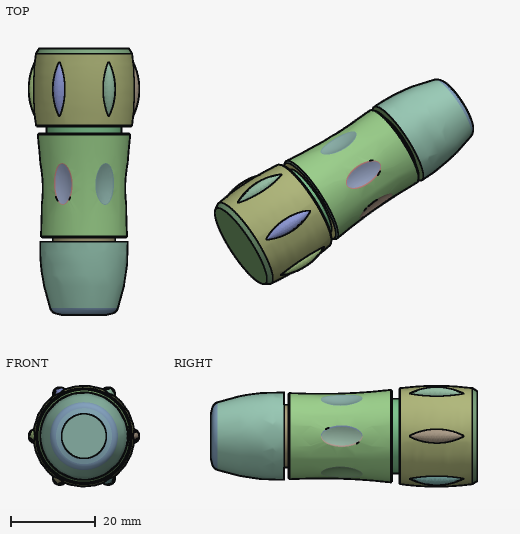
import cadquery as cq
import math

TOTAL_LENGTH = 62.82
NUT_LENGTH = 18.45
SLEEVE_START = 20.0
SLEEVE_END = 44.6
NOSE_START = 45.5

NUT_REAR_RADIUS = 10.6
NUT_EDGE_RADIUS = 11.35
NUT_MAX_RADIUS = 11.93
NUT_CHAMFER_LENGTH = 1.2
NUT_FRONT_CHAMFER = 0.35

RIDGE_COUNT = 6
RIDGE_STATION = 9.6
RIDGE_HALF_LENGTH = 6.8
RIDGE_HALF_WIDTH = 1.7
RIDGE_TOP_RADIUS = 13.07

REAR_NECK_RADIUS = 8.86
FRONT_NECK_RADIUS = 7.4

SLEEVE_REAR_RADIUS = 10.93
SLEEVE_FRONT_RADIUS = 10.18
SLEEVE_WAIST_DEPTH = 0.5
SLEEVE_EDGE_CHAMFER = 0.4

DIMPLE_COUNT = 6
DIMPLE_STATION = 32.4
DIMPLE_HALF_LENGTH = 4.65
DIMPLE_HALF_WIDTH = 2.15
DIMPLE_FLOOR_RADIUS = 9.3
DIMPLE_SIDE_DEPTH = 0.4
DIMPLE_END_DEPTH = 0.78
DIMPLE_RIM_FILLET = 0.6

NOSE_REAR_RADIUS = 10.33
NOSE_MIDDLE_RADIUS = 9.8
NOSE_MIDDLE_STATION = 54.0
NOSE_FRONT_RADIUS = 8.0
NOSE_FRONT_STATION = 61.2
TIP_FACE_RADIUS = 6.6
TIP_RIM_STATION = 62.5
RECESS_RADIUS = 5.27
RECESS_DEPTH = 0.2


def arc_radius(half_chord, sagitta):
    """Radius of the arc that rises by sagitta over a chord of twice half_chord."""
    return (half_chord**2 + sagitta**2) / (2 * sagitta)


def spindle(axis_radius, station, mid_radius, half_length):
    """A solid pointed at both ends, round about a line parallel to Y at x = axis_radius."""
    outline = (
        cq.Workplane("XY")
        .moveTo(axis_radius, -station - half_length)
        .threePointArc((axis_radius + mid_radius, -station), (axis_radius, half_length - station))
        .close()
    )
    return outline.revolve(360, (axis_radius, 0, 0), (axis_radius, 1, 0))


def around_axis(shape, count):
    """Copies of the shape spaced evenly around the Y axis."""
    step = 360 / count
    return [shape.rotate((0, 0, 0), (0, 1, 0), step * i) for i in range(count)]


def make_body():
    """The nut, sleeve and nose as one revolved outline."""
    sleeve_rear = SLEEVE_START + SLEEVE_EDGE_CHAMFER
    sleeve_front = SLEEVE_END - SLEEVE_EDGE_CHAMFER
    sleeve_middle = (sleeve_rear + sleeve_front) / 2
    waist_radius = (SLEEVE_REAR_RADIUS + SLEEVE_FRONT_RADIUS) / 2 - SLEEVE_WAIST_DEPTH
    nut_front = NUT_LENGTH - NUT_FRONT_CHAMFER
    outline = (
        cq.Workplane("XY")
        .moveTo(0, 0)
        .lineTo(NUT_REAR_RADIUS, 0)
        .lineTo(NUT_EDGE_RADIUS, -NUT_CHAMFER_LENGTH)
        .threePointArc((NUT_MAX_RADIUS, -RIDGE_STATION), (NUT_EDGE_RADIUS, -nut_front))
        .lineTo(NUT_EDGE_RADIUS - NUT_FRONT_CHAMFER, -NUT_LENGTH)
        .lineTo(REAR_NECK_RADIUS, -NUT_LENGTH)
        .lineTo(REAR_NECK_RADIUS, -SLEEVE_START)
        .lineTo(SLEEVE_REAR_RADIUS - SLEEVE_EDGE_CHAMFER, -SLEEVE_START)
        .lineTo(SLEEVE_REAR_RADIUS, -sleeve_rear)
        .threePointArc((waist_radius, -sleeve_middle), (SLEEVE_FRONT_RADIUS, -sleeve_front))
        .lineTo(SLEEVE_FRONT_RADIUS - SLEEVE_EDGE_CHAMFER, -SLEEVE_END)
        .lineTo(FRONT_NECK_RADIUS, -SLEEVE_END)
        .lineTo(FRONT_NECK_RADIUS, -NOSE_START)
        .lineTo(NOSE_REAR_RADIUS, -NOSE_START)
        .threePointArc(
            (NOSE_MIDDLE_RADIUS, -NOSE_MIDDLE_STATION),
            (NOSE_FRONT_RADIUS, -NOSE_FRONT_STATION),
        )
        .tangentArcPoint((TIP_FACE_RADIUS, -TIP_RIM_STATION), relative=False)
        .lineTo(RECESS_RADIUS, -TOTAL_LENGTH)
        .lineTo(RECESS_RADIUS, RECESS_DEPTH - TOTAL_LENGTH)
        .lineTo(0, RECESS_DEPTH - TOTAL_LENGTH)
        .close()
    )
    return outline.revolve(360, (0, 0, 0), (0, 1, 0))


def add_ridges(body):
    """Lens-shaped ridges standing out of the nut."""
    axis_radius = RIDGE_TOP_RADIUS - RIDGE_HALF_WIDTH
    ridge = spindle(axis_radius, RIDGE_STATION, RIDGE_HALF_WIDTH, RIDGE_HALF_LENGTH)
    for copy in around_axis(ridge, RIDGE_COUNT):
        body = body.union(copy)
    return body


def cut_dimples(body):
    """Shallow oval scoops in the sleeve with rounded rims."""
    cross_radius = arc_radius(DIMPLE_HALF_WIDTH, DIMPLE_SIDE_DEPTH)
    long_radius = arc_radius(DIMPLE_HALF_LENGTH, DIMPLE_END_DEPTH)
    tool_half_length = math.sqrt(2 * cross_radius * long_radius - cross_radius**2)
    axis_radius = DIMPLE_FLOOR_RADIUS + cross_radius
    scoop = spindle(axis_radius, DIMPLE_STATION, cross_radius, tool_half_length)
    for copy in around_axis(scoop, DIMPLE_COUNT):
        body = body.cut(copy)
    rims = cq.selectors.BoxSelector(
        (-SLEEVE_REAR_RADIUS, -DIMPLE_STATION - DIMPLE_HALF_LENGTH, -SLEEVE_REAR_RADIUS),
        (SLEEVE_REAR_RADIUS, -DIMPLE_STATION + DIMPLE_HALF_LENGTH, SLEEVE_REAR_RADIUS),
    )
    return body.edges(rims).fillet(DIMPLE_RIM_FILLET)


result = make_body()
result = add_ridges(result)
result = cut_dimples(result)